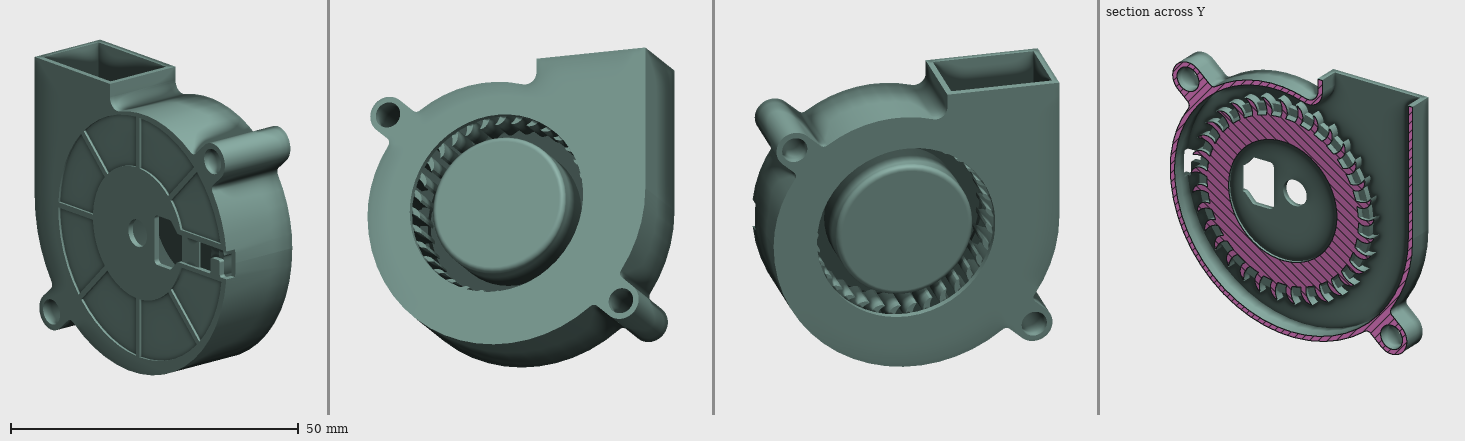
import cadquery as cq
import math


depth = 15.0
wall = 1.05
back_wall = 1.25
scroll_radius = 25.65
scroll_center_x = -1.85
crown_radius = 22.05
crown_center_x = scroll_center_x + scroll_radius - crown_radius
left_x = scroll_center_x - scroll_radius
outlet_top = 25.45
outlet_width = 20.1
outlet_right_x = left_x + outlet_width
throat_radius = 2.0
inlet_radius = 32.0 / 2
axle_hole_diameter = 5.0

lug_centers = [(20.0, 18.0), (-23.0, -20.0)]
lug_radius = 3.3
lug_hole_diameter = 4.5
lug_root_fillet = 1.0
lug_search_reach = 2.2 * lug_radius
lug_rim_limit = 1.05 * lug_radius

pocket_depth = 0.45
pocket_center = (0.65, -0.65)
pocket_outer_radius = 21.85
pocket_inner_radius = 11.95
rib_width = 1.0
rib_count = 8

window_left = 4.45
window_right = 8.8
window_half_height = 4.5
window_fillet = 0.8
channel_start = 10.6
channel_top = 2.45
channel_bottom = -2.6
channel_step = 11.1
channel_depth = 0.65
channel_upper_rim = 1.0
channel_lower_rim = 0.75
opening_left = 15.55
notch_depth = 2.0
clip_left = 19.45
clip_right = 21.9
clip_top = 0.35
clip_fillet = 0.4

disk_front = 3.15
disk_thickness = 1.1
disk_radius = 18.0
web_offset = 1.25
web_slope_width = 1.0
web_back_slope_shift = 0.5
hub_radius = 24.5 / 2
cup_radius = 22.8 / 2
hub_back = 14.2
hub_edge_fillet = 0.9
blade_count = 33
blade_back = 12.25
blade_tip = (19.45, 0.05)
blade_outer_middle = (18.25, 1.6)
blade_outer_root = (15.05, 0.05)
blade_inner_root = (15.15, -0.45)
blade_inner_middle = (18.1, 0.6)

far = 2 * scroll_radius
margin = 0.05


def front_plane(y=0.0):
    """Plane at depth y whose local axes are X and Z; a negative extrusion runs toward +Y."""
    return cq.Workplane("XZ", origin=(0, y, 0))


def polar(center, radius, degrees):
    angle = math.radians(degrees)
    return (center[0] + radius * math.cos(angle), center[1] + radius * math.sin(angle))


def block(x_range, z_range, thickness):
    """Block on the front face, from Y = 0 to the given thickness."""
    size = (x_range[1] - x_range[0], thickness, z_range[1] - z_range[0])
    return cq.Workplane("XY").box(*size, centered=False).translate((x_range[0], 0, z_range[0]))


def scroll_outline(y):
    """Outlet, two half circles and the throat fillet, as a closed wire."""
    throat_x = outlet_right_x + throat_radius
    throat_z = math.sqrt((crown_radius + throat_radius) ** 2 - (throat_x - crown_center_x) ** 2)
    throat = (throat_x, throat_z)
    crown_angle = math.degrees(math.atan2(throat_z, throat_x - crown_center_x))
    crown_center = (crown_center_x, 0)
    return (
        front_plane(y)
        .moveTo(left_x, outlet_top)
        .lineTo(left_x, 0)
        .threePointArc((scroll_center_x, -scroll_radius), (scroll_center_x + scroll_radius, 0))
        .threePointArc(polar(crown_center, crown_radius, crown_angle / 2),
                       polar(crown_center, crown_radius, crown_angle))
        .threePointArc(polar(throat, throat_radius, crown_angle / 2 - 180),
                       (outlet_right_x, throat_z))
        .lineTo(outlet_right_x, outlet_top)
        .close()
    )


def add_lugs(body):
    """Add the bar with both round lugs, fillet its roots and drill the screw holes."""
    (x1, z1), (x2, z2) = lug_centers
    tilt = math.degrees(math.atan2(z1 - z2, x1 - x2))
    span = math.hypot(x1 - x2, z1 - z2)
    bar = (
        front_plane()
        .center((x1 + x2) / 2, (z1 + z2) / 2)
        .transformed(rotate=(0, 0, tilt))
        .slot2D(span + 2 * lug_radius, 2 * lug_radius)
        .extrude(-depth)
    )
    body = body.union(bar)
    for x, z in lug_centers:
        near = cq.selectors.BoxSelector(
            (x - lug_search_reach, -margin, z - lug_search_reach),
            (x + lug_search_reach, depth + margin, z + lug_search_reach),
        )
        corners = [
            edge for edge in body.edges("|Y").edges(near).vals()
            if math.hypot(edge.Center().x - x, edge.Center().z - z) > lug_rim_limit
        ]
        body = body.newObject(corners).fillet(lug_root_fillet)
    holes = front_plane().pushPoints(lug_centers).circle(lug_hole_diameter / 2).extrude(-depth)
    return body.cut(holes)


def flow_cavity():
    """Scroll interior, open at the outlet, with the round inlet through the back wall."""
    cavity_depth = depth - wall - back_wall
    cavity = scroll_outline(wall).offset2D(-wall).extrude(-cavity_depth)
    mouth_range = (left_x + wall, outlet_right_x - wall)
    mouth = block(mouth_range, (outlet_top - 2 * wall, outlet_top), cavity_depth)
    inlet = front_plane(depth / 2).circle(inlet_radius).extrude(-depth)
    return cavity.union(mouth.translate((0, wall, 0))).union(inlet)


def sector_pockets():
    """Ring of shallow pockets, split by radial ribs and by the border of the wire channel."""
    pockets = front_plane().center(*pocket_center).circle(pocket_outer_radius).extrude(-pocket_depth)
    pockets = pockets.cut(front_plane().circle(pocket_inner_radius).extrude(-pocket_depth))
    for i in range(rib_count):
        rib = block((0, far), (-rib_width / 2, rib_width / 2), pocket_depth)
        pockets = pockets.cut(rib.rotate((0, 0, 0), (0, 1, 0), i * 360 / rib_count))
    border_range = (channel_bottom - channel_lower_rim, channel_top + channel_upper_rim)
    border = block((0, far), border_range, pocket_depth)
    return pockets.cut(border)


def wire_passage():
    """Window, shallow channel and clip opening that run from the hub to the right side wall."""
    h = window_half_height
    window = (
        front_plane()
        .polyline([
            (window_left, h), (window_right, h), (channel_start, channel_top),
            (channel_step, channel_top), (channel_step, channel_bottom),
            (channel_start, channel_bottom), (window_right, -h), (window_left, -h),
        ])
        .close()
        .extrude(-wall)
        .edges("|Y and (not >X)")
        .fillet(window_fillet)
    )
    z_range = (channel_bottom, channel_top)
    channel = block((channel_start, opening_left), z_range, channel_depth)
    clip = block((clip_left, clip_right), (channel_bottom, clip_top), notch_depth)
    clip_box = cq.selectors.BoxSelector(
        (clip_left - margin, -margin, channel_bottom - margin),
        (clip_right + margin, notch_depth + margin, clip_top + margin),
    )
    opening = block((opening_left, far), z_range, notch_depth).cut(clip)
    opening = opening.edges("|Y").edges(clip_box).fillet(clip_fillet)
    return window.union(channel).union(opening)


def make_housing():
    body = add_lugs(scroll_outline(0).extrude(-depth))
    body = body.cut(flow_cavity())
    body = body.cut(sector_pockets())
    body = body.cut(wire_passage())
    return body.cut(front_plane().circle(axle_hole_diameter / 2).extrude(-wall))


def make_blade():
    """Curved blade next to the +X axis: two arcs that meet in a sharp tip."""
    return (
        front_plane(disk_front)
        .moveTo(*blade_tip)
        .threePointArc(blade_outer_middle, blade_outer_root)
        .lineTo(*blade_inner_root)
        .threePointArc(blade_inner_middle, blade_tip)
        .close()
        .extrude(-(blade_back - disk_front))
    )


def revolve_section(points):
    """Solid of revolution around the Y axis from (radius, Y) points."""
    return cq.Workplane("XY").polyline(points).close().revolve(360, (0, 0, 0), (0, 1, 0))


def make_impeller():
    web_front = disk_front + web_offset
    disk_back = disk_front + disk_thickness
    web_back = web_front + disk_thickness
    slope_foot = inlet_radius
    slope_top = slope_foot - web_slope_width
    cup_end = hub_back - (hub_radius - cup_radius)
    impeller = revolve_section([
        (0, disk_front), (disk_radius, disk_front), (disk_radius, disk_back),
        (slope_foot + web_back_slope_shift, disk_back),
        (slope_top + web_back_slope_shift, web_back),
        (hub_radius, web_back), (hub_radius, hub_back), (0, hub_back),
    ])
    impeller = impeller.faces(">Y").edges().fillet(hub_edge_fillet)
    blade = make_blade()
    for i in range(blade_count):
        impeller = impeller.union(blade.rotate((0, 0, 0), (0, 1, 0), i * 360 / blade_count))
    recess = revolve_section([
        (0, disk_front), (slope_foot, disk_front), (slope_top, web_front),
        (cup_radius, web_front), (cup_radius, cup_end), (0, cup_end),
    ])
    return impeller.cut(recess)


housing = make_housing()
impeller = make_impeller()

result = cq.Compound.makeCompound([housing.val(), impeller.val()])